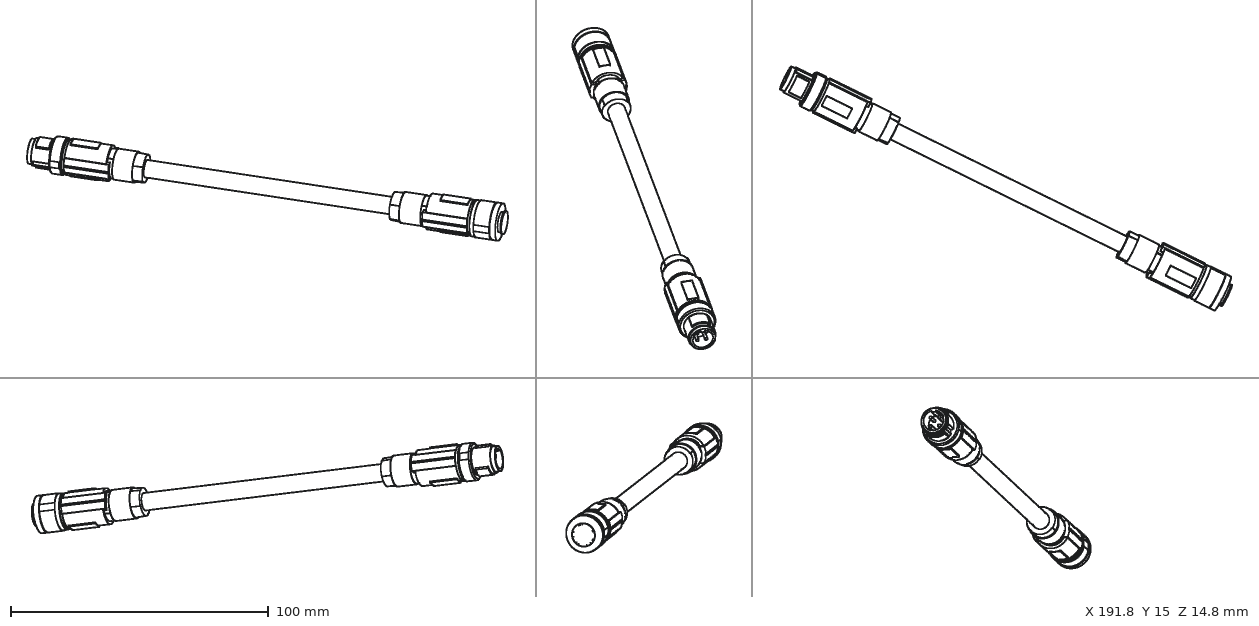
import cadquery as cq

total_length = 191.8

cable_radius = 3.5

shoulder_inset_male = 32.5
shoulder_inset_female = 30.1
body_radius = 7.1
body_length = 16.9
neck_radius = 5.8
neck_length = 2.3
neck_cap_radius = 6.0
neck_cap_height = 4.5
collar_radius = 6.1
collar_length_male = 8.0
collar_length_female = 8.6
tail_end_radius = 5.5
tail_root_radius = 5.8
tail_length = 4.0
tail_rail_radius = 5.8
rail_radius = 7.5
rail_half_height = 3.3
rail_overhang = 1.2
seam_width = 0.5
seam_depth = 0.4
label_start = 4.6
label_length = 11.1
label_width = 4.5
label_height = 7.3

ring_diameter = 14.8
ring_radius = ring_diameter / 2
ring_chamfer = 0.5
ring_flat_half_height = 1.44
ring_flat_depth = 0.15
ring_flat_distance = ring_radius - ring_flat_depth
ring_groove_radius = 6.7
male_ring_start = 9.4
male_ring_end = 14.0
male_flat_end = 13.6
stop_ring_start = 14.5
stop_ring_radius = 7.0
female_ring_start = 181.3
female_ring_end = 190.0
female_step_start = 179.5
female_step_diameter = 14.4
female_step_radius = female_step_diameter / 2
female_flat_end = 187.5
female_lip_start = 187.5
lip_groove_width = 0.2
lip_groove_depth = 0.2

nose_tip_radius = 5.0
nose_tip_length = 1.7
nose_diameter = 11.0
nose_radius = nose_diameter / 2
bore_radius = 4.0
bore_depth = 6.7
key_width = 1.7
key_inner_radius = 3.5
lug_diameter = 12.0
lug_radius = lug_diameter / 2
lug_start = 3.0
lug_end = 8.5
lug_half_width = 3.6
nose_slot_start = 2.3
nose_slot_top = -1.2
nose_slot_floor_top = -1.7
nose_slot_bottom = -3.3
nose_slot_distance = 4.2
pin_radius = 0.5
pin_offset = 1.7
pin_start = 2.0

spigot_radius = 4.0
spigot_flange_radius = 4.6
spigot_flange_width = 0.48


def cylinder(start, end, radius):
    """Round bar on the X axis."""
    return cq.Workplane("YZ").workplane(offset=start).circle(radius).extrude(end - start)


def cone(start, end, start_radius, end_radius):
    """Tapered bar on the X axis."""
    half_section = [(start, 0), (start, start_radius), (end, end_radius), (end, 0)]
    return cq.Workplane("XY").polyline(half_section).close().revolve(360, (0, 0, 0), (1, 0, 0))


def block(start, end, y_low, y_high, z_low, z_high):
    """Box given by its limits."""
    size = (end - start, y_high - y_low, z_high - z_low)
    return cq.Workplane("XY").box(*size, centered=False).translate((start, y_low, z_low))


def grip(collar_length):
    """Overmoulded grip with its shoulder at x = 0 and mating end towards +X."""
    collar_end = -neck_length
    collar_start = collar_end - collar_length
    tail_start = collar_start - tail_length
    shape = cylinder(0, body_length, body_radius)
    shape = shape.union(cylinder(collar_end, 0, neck_radius))
    shape = shape.union(cylinder(collar_start, collar_end, collar_radius))
    shape = shape.union(cone(tail_start, collar_start, tail_end_radius, tail_root_radius))

    rail_band = block(
        tail_start, body_length, -rail_radius, rail_radius, -rail_half_height, rail_half_height
    )
    body_rails = cylinder(-rail_overhang, body_length, rail_radius)
    tail_rails = cylinder(tail_start, collar_start, tail_rail_radius)
    shape = shape.union(body_rails.intersect(rail_band))
    shape = shape.union(tail_rails.intersect(rail_band))

    for side in (-1, 1):
        seam_centre = side * rail_radius
        shape = shape.cut(
            block(
                -rail_overhang, body_length,
                seam_centre - seam_depth, seam_centre + seam_depth,
                -seam_width / 2, seam_width / 2,
            )
        )
    shape = shape.union(
        block(
            label_start, label_start + label_length,
            -label_width / 2, label_width / 2,
            -label_height, label_height,
        )
    )
    return shape


def neck_cap(side):
    """Raised segment on the top (side 1) or bottom (side -1) of a grip neck."""
    segment = block(
        -neck_length, 0, -neck_cap_radius, neck_cap_radius, neck_cap_height, neck_cap_radius
    )
    cap = cylinder(-neck_length, 0, neck_cap_radius).intersect(segment)
    return cap if side > 0 else cap.mirror("XY")


def cut_ring_flats(ring, start, end):
    """Small flats on the two Y sides of a coupling ring."""
    for y_low, y_high in (
        (ring_flat_distance, rail_radius),
        (-rail_radius, -ring_flat_distance),
    ):
        ring = ring.cut(
            block(start, end, y_low, y_high, -ring_flat_half_height, ring_flat_half_height)
        )
    return ring


def male_nose():
    """Stepped sleeve with two lugs, a side slot, a keyed bore and four pins."""
    nose = cylinder(0, nose_tip_length, nose_tip_radius)
    nose = nose.union(cylinder(nose_tip_length, male_ring_start, nose_radius))
    lug_band = block(
        lug_start, lug_end, -lug_half_width, lug_half_width, -lug_radius, lug_radius
    )
    nose = nose.union(cylinder(lug_start, lug_end, lug_radius).intersect(lug_band))
    slot_outline = [
        (-nose_radius, nose_slot_top),
        (-nose_slot_distance, nose_slot_floor_top),
        (-nose_slot_distance, nose_slot_bottom),
        (-nose_radius, nose_slot_bottom),
    ]
    nose = nose.cut(
        cq.Workplane("YZ").workplane(offset=nose_slot_start).polyline(slot_outline).close()
        .extrude(male_ring_start - nose_slot_start)
    )
    nose = nose.cut(cylinder(0, bore_depth, bore_radius))
    key = block(
        0, bore_depth, -key_width / 2, key_width / 2, key_inner_radius, nose_tip_radius
    )
    nose = nose.union(key.intersect(cylinder(0, bore_depth, nose_tip_radius)))
    for y_side in (-1, 1):
        for z_side in (-1, 1):
            pin = cylinder(pin_start, male_ring_start, pin_radius)
            nose = nose.union(pin.translate((0, y_side * pin_offset, z_side * pin_offset)))
    return nose


def male_connector():
    body_front = shoulder_inset_male - body_length
    ring = cylinder(male_ring_start, male_ring_end, ring_radius).faces("<X").chamfer(ring_chamfer)
    ring = cut_ring_flats(ring, male_ring_start + ring_chamfer, male_flat_end)
    gap = cylinder(male_ring_end, body_front, ring_groove_radius)
    stop_ring = cylinder(stop_ring_start, body_front, stop_ring_radius)
    handle = grip(collar_length_male).union(neck_cap(1))
    handle = handle.mirror("YZ").translate((shoulder_inset_male, 0, 0))
    return male_nose().union(ring).union(gap).union(stop_ring).union(handle)


def female_connector():
    shoulder = total_length - shoulder_inset_female
    handle = grip(collar_length_female).union(neck_cap(1)).union(neck_cap(-1))
    handle = handle.translate((shoulder, 0, 0))
    gap = cylinder(shoulder + body_length, female_step_start, ring_groove_radius)
    step = cylinder(female_step_start, female_ring_start, female_step_radius)
    ring = cylinder(female_ring_start, female_ring_end, ring_radius)
    ring = cut_ring_flats(ring, female_ring_start, female_flat_end)
    lip_groove = cylinder(female_lip_start, female_lip_start + lip_groove_width, ring_radius)
    lip_groove = lip_groove.cut(
        cylinder(female_lip_start, female_ring_end, ring_radius - lip_groove_depth)
    )
    spigot = cylinder(female_ring_end, total_length, spigot_radius)
    flange = cylinder(total_length - spigot_flange_width, total_length, spigot_flange_radius)
    ring = ring.cut(lip_groove)
    return handle.union(gap).union(step).union(ring).union(spigot).union(flange)


cable = cylinder(
    shoulder_inset_male, total_length - shoulder_inset_female, cable_radius
)
result = cable.union(male_connector()).union(female_connector())